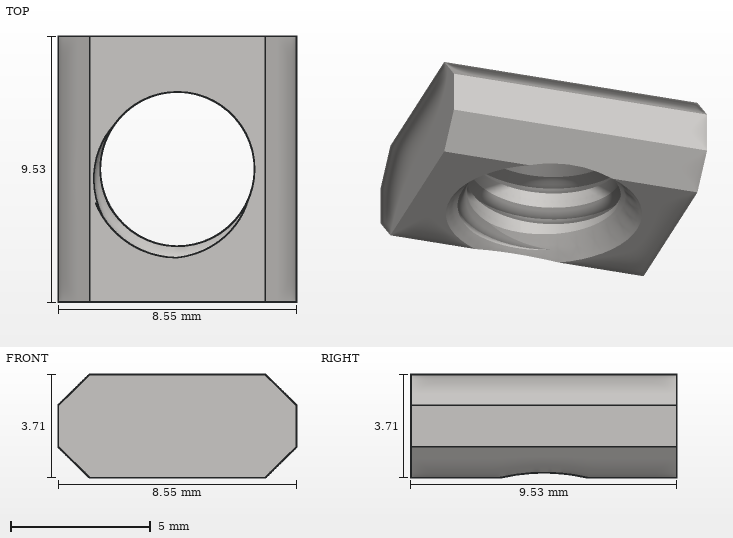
import cadquery as cq
import math

WIDTH = 8.55
LENGTH = 9.53
HEIGHT = 3.71
CHAMFER_ALONG_X = 1.13
CHAMFER_ALONG_Z = 1.11

BORE_RADIUS = 5.52 / 2
MAJOR_RADIUS = 6.35 / 2
PITCH = 25.4 / 20
FLANK_ANGLE = 30.0
ROOT_WIDTH = 0.2
GROOVE_ANGLE_AT_TOP = 241.0
OVERRUN_TURNS = 1

COUNTERSINK_RADIUS = 3.515
COUNTERSINK_DEPTH = COUNTERSINK_RADIUS - BORE_RADIUS


def make_block():
    """Octagonal bar along Y, centred on the origin."""
    half_width = WIDTH / 2
    half_height = HEIGHT / 2
    flat_x = half_width - CHAMFER_ALONG_X
    side_z = half_height - CHAMFER_ALONG_Z
    outline = [
        (flat_x, half_height),
        (half_width, side_z),
        (half_width, -side_z),
        (flat_x, -half_height),
        (-flat_x, -half_height),
        (-half_width, -side_z),
        (-half_width, side_z),
        (-flat_x, half_height),
    ]
    return cq.Workplane("XZ").polyline(outline).close().extrude(LENGTH / 2, both=True)


def make_bore():
    """Through hole at the crests of the thread."""
    return cq.Workplane("XY").circle(BORE_RADIUS).extrude(HEIGHT / 2, both=True)


def make_thread_groove():
    """Helical groove that runs out past both faces of the block."""
    turns = math.ceil(HEIGHT / PITCH) + 2 * OVERRUN_TURNS
    length = turns * PITCH
    half_root = ROOT_WIDTH / 2
    flank_rise = (MAJOR_RADIUS - BORE_RADIUS) * math.tan(math.radians(FLANK_ANGLE))
    half_mouth = half_root + flank_rise

    corners = [
        (BORE_RADIUS, -half_mouth),
        (MAJOR_RADIUS, -half_root),
        (MAJOR_RADIUS, half_root),
        (BORE_RADIUS, half_mouth),
    ]

    helices = []
    for radius, height in corners:
        helix = cq.Wire.makeHelix(PITCH, length, radius)
        helices.append(helix.translate(cq.Vector(0, 0, height)))
    sides = []
    for index, helix in enumerate(helices):
        sides.append(cq.Face.makeRuledSurface(helices[index - 1], helix))

    outline = [cq.Vector(radius, 0, height) for radius, height in corners]
    start_cap = cq.Face.makeFromWires(cq.Wire.makePolygon(outline, close=True))
    end_cap = start_cap.translate(cq.Vector(0, 0, length))
    groove = cq.Workplane(cq.Solid.makeSolid(cq.Shell.makeShell(sides + [start_cap, end_cap])))

    start_z = HEIGHT / 2 + OVERRUN_TURNS * PITCH - length
    return groove.rotate((0, 0, 0), (0, 0, 1), GROOVE_ANGLE_AT_TOP).translate((0, 0, start_z))


def make_countersink():
    """Cone that narrows upward from the bottom face to the bore."""
    bottom_center = cq.Vector(0, 0, -HEIGHT / 2)
    return cq.Workplane(
        cq.Solid.makeCone(COUNTERSINK_RADIUS, BORE_RADIUS, COUNTERSINK_DEPTH, pnt=bottom_center)
    )


drilled_block = make_block().cut(make_bore())
threaded_block = drilled_block.cut(make_thread_groove(), clean=False)
result = threaded_block.cut(make_countersink(), clean=False)